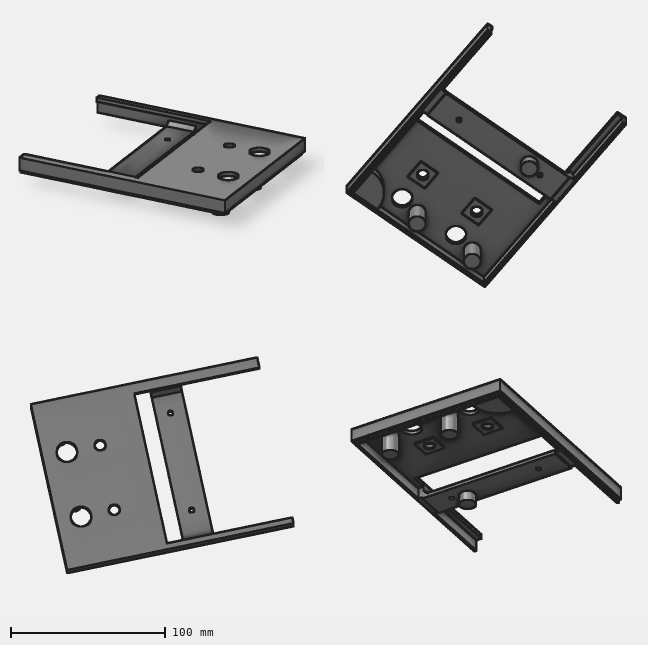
import cadquery as cq
import math

length = 149.95
width = 113.0
overall_height = 19.0
plate_thickness = 3.0

wall_thickness = 3.0
wall_bottom = -9.0
lip_bottom = -11.0
lip_setback = 1.5

opening_length = 82.95
front_rail_width = 7.0
back_rail_width = 4.0

bridge_start = 51.95
bridge_width = 20.0
bridge_top = -9.0
bridge_bottom = -12.0
bridge_end_inset = 6.0
bridge_slope = 3.0
bridge_hole_diameter = 3.2
bridge_hole_x = 62.3
bridge_hole_ys = (22.5, 88.5)

control_row_ys = (36.0, 80.0)
small_hole_diameter = 7.0
small_hole_x = 111.75
large_hole_diameter = 13.25
large_hole_x = 133.75
pad_size = 14.0
pad_thickness = 1.0
pad_hole_diameter = 7.5

foot_diameter = 11.0
bridge_foot_center = (59.8, 33.0)
plate_foot_centers = ((135.95, 21.0), (135.95, 66.0))

corner_block_radius = 20.0
corner_block_flat = 4.0
corner_block_top = -3.5
corner_block_height = 7.0

inner_x = length - wall_thickness
inner_y = width - wall_thickness


def box(x_range, y_range, z_range):
    """Axis-aligned box between the given limits."""
    size = [high - low for low, high in (x_range, y_range, z_range)]
    corner = (x_range[0], y_range[0], z_range[0])
    return cq.Workplane("XY").box(*size, centered=False).translate(corner)


def cylinder(diameter, center, bottom, top):
    """Vertical cylinder between two heights."""
    return cq.Workplane("XY", origin=(*center, bottom)).circle(diameter / 2).extrude(top - bottom)


def make_shell():
    """Plate with three walls, the lip under the walls and the opening at -X."""
    walls = box((0, length), (0, width), (wall_bottom, 0))
    lip = box((0, length - lip_setback), (lip_setback, width - lip_setback), (lip_bottom, wall_bottom))
    cavity = box((0, inner_x), (wall_thickness, inner_y), (lip_bottom, -plate_thickness))
    opening = box((0, opening_length), (front_rail_width, width - back_rail_width), (-plate_thickness, 0))
    return walls.union(lip).cut(cavity).cut(opening)


def make_bridge():
    """Slab with sloped ends that run up into the two side walls."""
    slope_top = bridge_top + bridge_slope
    profile = [
        (wall_thickness, -plate_thickness),
        (front_rail_width, -plate_thickness),
        (front_rail_width, slope_top),
        (front_rail_width + bridge_slope, bridge_top),
        (inner_y - bridge_slope, bridge_top),
        (inner_y, slope_top),
        (inner_y, lip_bottom),
        (width - bridge_end_inset, lip_bottom),
        (width - bridge_end_inset, bridge_bottom),
        (bridge_end_inset, bridge_bottom),
        (bridge_end_inset, lip_bottom),
        (wall_thickness, lip_bottom),
    ]
    bridge = cq.Workplane("YZ", origin=(bridge_start, 0, 0)).polyline(profile).close().extrude(bridge_width)
    for y in bridge_hole_ys:
        bridge = bridge.cut(cylinder(bridge_hole_diameter, (bridge_hole_x, y), bridge_bottom, bridge_top))
    return bridge


def make_corner_block():
    """Quarter-round block whose -X side is cut flat next to the +Y wall."""
    reach = math.sqrt(corner_block_radius**2 - corner_block_flat**2)
    block_bottom = corner_block_top - corner_block_height
    round_block = cylinder(2 * corner_block_radius, (inner_x, inner_y), block_bottom, corner_block_top)
    corner = box(
        (inner_x - reach, inner_x),
        (inner_y - corner_block_radius, inner_y),
        (block_bottom, corner_block_top),
    )
    return round_block.intersect(corner)


def add_feet(body):
    """Feet under the bridge and under the plate."""
    body = body.union(cylinder(foot_diameter, bridge_foot_center, -overall_height, bridge_top))
    for center in plate_foot_centers:
        body = body.union(cylinder(foot_diameter, center, -overall_height, -plate_thickness))
    return body


def add_control_holes(body):
    """Small holes widened through square pads, and plain large holes, in both rows."""
    pad_bottom = -plate_thickness - pad_thickness
    for y in control_row_ys:
        pad_x = (small_hole_x - pad_size / 2, small_hole_x + pad_size / 2)
        pad_y = (y - pad_size / 2, y + pad_size / 2)
        body = body.union(box(pad_x, pad_y, (pad_bottom, -plate_thickness)))
        body = body.cut(cylinder(pad_hole_diameter, (small_hole_x, y), pad_bottom, -plate_thickness))
        body = body.cut(cylinder(small_hole_diameter, (small_hole_x, y), -plate_thickness, 0))
        body = body.cut(cylinder(large_hole_diameter, (large_hole_x, y), -plate_thickness, 0))
    return body


result = add_control_holes(add_feet(make_shell().union(make_bridge()).union(make_corner_block())))